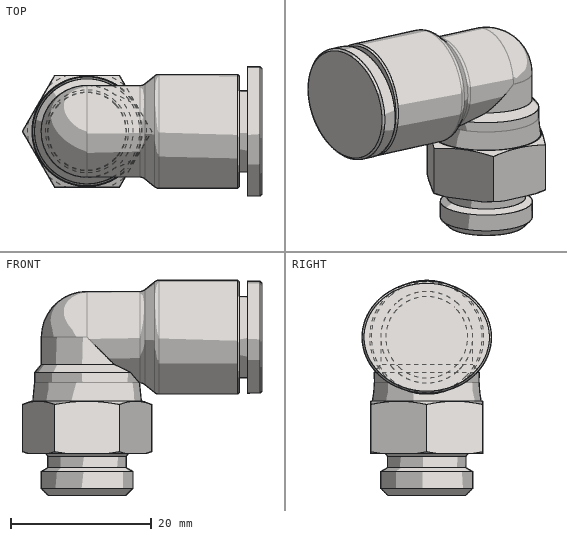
import cadquery as cq
import math


arm_axis_z = 16.6
elbow_radius = 6.55

hex_height = 7.5
hex_across_flats = 16.0
hex_across_corners = hex_across_flats / math.cos(math.radians(30))
top_chamfer_radius = 7.88
top_chamfer_drop = 0.5
bottom_chamfer_radius = 8.5
bottom_chamfer_drop = 0.27

thread_radius = 6.58
thread_end_z = -6.0
thread_end_radius = 5.55
thread_lead_z = -4.96
thread_top_z = -2.6
relief_radius = 5.62
relief_bottom_z = -2.0
relief_top_z = -0.4
relief_flare = 0.3

sleeve_base_radius = 7.77
sleeve_radius = 7.5
sleeve_taper_top_z = 10.15
sleeve_shoulder_z = 11.55
sleeve_top_z = 12.7

socket_radius = 8.15
neck_end_x = 7.55
flare_angle = math.radians(39)
neck_blend_radius = 1.1
socket_blend_radius = 0.95
socket_end_x = 21.75
socket_edge_chamfer = 0.25

collar_stem_radius = 5.83
collar_start_x = 22.9
collar_end_x = 25.0
collar_width = 18.5
collar_height = 16.0
collar_chamfer = 0.3


def revolve_about_z(profile):
    """Turn (radius, z) points, closed along the Z axis, into a solid."""
    outline = [(0, profile[0][1])] + profile + [(0, profile[-1][1])]
    return cq.Workplane("XZ").polyline(outline).close().revolve(360, (0, 0), (0, 1))


def make_spigot():
    return revolve_about_z([
        (thread_end_radius, thread_end_z),
        (thread_radius, thread_lead_z),
        (thread_radius, thread_top_z),
        (relief_radius, relief_bottom_z),
        (relief_radius, relief_top_z),
        (relief_radius + relief_flare, 0),
    ])


def make_hexagon():
    corner_radius = hex_across_corners / 2
    prism = cq.Workplane("XY").polygon(6, hex_across_corners).extrude(hex_height)
    corner_cutter = revolve_about_z([
        (bottom_chamfer_radius, 0),
        (corner_radius, bottom_chamfer_drop),
        (corner_radius, hex_height - top_chamfer_drop),
        (top_chamfer_radius, hex_height),
    ])
    return prism.intersect(corner_cutter)


def make_sleeve():
    return revolve_about_z([
        (sleeve_base_radius, hex_height),
        (sleeve_radius, sleeve_taper_top_z),
        (sleeve_radius, sleeve_shoulder_z),
        (elbow_radius, sleeve_top_z),
        (elbow_radius, arm_axis_z),
    ])


def make_elbow_ball():
    return cq.Workplane("XY").sphere(elbow_radius).translate((0, 0, arm_axis_z))


def make_arm():
    flare_start_x = neck_end_x + neck_blend_radius * math.sin(flare_angle)
    flare_start_radius = elbow_radius + neck_blend_radius * (1 - math.cos(flare_angle))
    flare_end_radius = socket_radius - socket_blend_radius * (1 - math.cos(flare_angle))
    flare_end_x = flare_start_x + (flare_end_radius - flare_start_radius) / math.tan(flare_angle)
    socket_start_x = flare_end_x + socket_blend_radius * math.sin(flare_angle)
    outline = (
        cq.Workplane("XZ")
        .lineTo(0, elbow_radius)
        .lineTo(neck_end_x, elbow_radius)
        .tangentArcPoint((flare_start_x, flare_start_radius), relative=False)
        .lineTo(flare_end_x, flare_end_radius)
        .tangentArcPoint((socket_start_x, socket_radius), relative=False)
        .lineTo(socket_end_x - socket_edge_chamfer, socket_radius)
        .lineTo(socket_end_x, socket_radius - socket_edge_chamfer)
        .lineTo(socket_end_x, collar_stem_radius)
        .lineTo(collar_start_x, collar_stem_radius)
        .lineTo(collar_start_x, 0)
        .close()
    )
    return outline.revolve(360, (0, 0), (1, 0)).translate((0, 0, arm_axis_z))


def make_collar():
    plane = cq.Workplane("YZ", origin=(collar_start_x, 0, arm_axis_z))
    outline = plane.ellipse(collar_width / 2, collar_height / 2)
    disc = outline.extrude(collar_end_x - collar_start_x)
    return disc.faces(">X").chamfer(collar_chamfer)


result = (
    make_hexagon()
    .union(make_spigot())
    .union(make_sleeve())
    .union(make_elbow_ball())
    .union(make_arm())
    .union(make_collar())
)